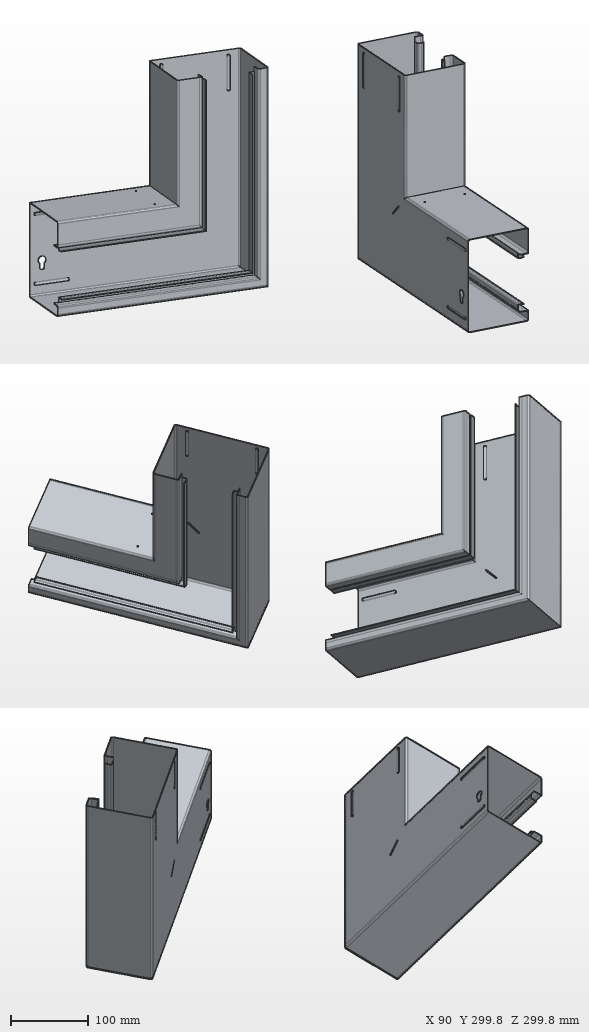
import cadquery as cq
import math

ARM_LENGTH = 299.8
CHANNEL_DEPTH = 90.0
CHANNEL_WIDTH = 130.0
SHEET = 1.2
BEND_RADIUS = 3.0
INNER_BEND_RADIUS = BEND_RADIUS - SHEET

HEEL_LIP = 15.5
THROAT_LIP = 36.3

LIP_BEND_RADIUS = 1.5
LIP_INNER_RADIUS = 3.0

LIP_BEND_RUN = 2 * LIP_INNER_RADIUS

CLIP_DEPTH = 12.5
CLIP_BACK = CHANNEL_DEPTH - CLIP_DEPTH
CLIP_WIDTH = 7.5
CLIP_BEND_RADIUS = 1.8
CLIP_CREST = 6.0
CLIP_TIP_REACH = 3.5
CLIP_TIP_DROP = 1.0
CLIP_SETBACK = 7.0

SLOT_LENGTH = 49.8
SLOT_WIDTH = 4.0
SLOT_END_GAP = 6.3
SLOT_EDGE_OFFSET = 17.5
TAB_SINK = 1.0

MITRE_SLOT_LENGTH = 21.5
MITRE_SLOT_WIDTH = 1.5
MITRE_SLOT_OFFSET = 104.0

KEYHOLE_END_GAP = 17.7
KEYHOLE_HEIGHT = 48.5
KEYHOLE_RADIUS = 5.5
KEYHOLE_NECK_WIDTH = 6.0
KEYHOLE_BOTTOM = 35.5

WALL_HOLE_DIAMETER = 1.8
WALL_HOLE_SPACING = 58.8
WALL_HOLE_FROM_HEEL = 155.3

CUT_DEPTH = 4 * SHEET


def bar(x_min, x_max, z_min, z_max):
    """Rectangular bar running from the heel plane toward -Y."""
    block = cq.Workplane("XY").box(x_max - x_min, ARM_LENGTH, z_max - z_min, centered=False)
    return block.translate((x_min, -ARM_LENGTH, z_min))


def channel():
    """Rounded rectangular tube with its +X face open between the two lips."""
    outside = bar(0, CHANNEL_DEPTH, 0, CHANNEL_WIDTH).edges("|Y").fillet(BEND_RADIUS)
    inside = bar(SHEET, CHANNEL_DEPTH - SHEET, SHEET, CHANNEL_WIDTH - SHEET)
    inside = inside.edges("|Y").fillet(INNER_BEND_RADIUS)
    opening = bar(
        CHANNEL_DEPTH / 2, CHANNEL_DEPTH, HEEL_LIP - LIP_BEND_RUN, CHANNEL_WIDTH - THROAT_LIP + LIP_BEND_RUN
    )
    return outside.cut(inside).cut(opening)


def lip_return(lip_edge, toward):
    """Flange bent inward from a lip; toward is +1 or -1, the Z direction into the opening."""
    bend_start = lip_edge - toward * LIP_BEND_RUN
    inner_face = lip_edge - toward * SHEET
    bend_edge = "|Y and >X and " + (">Z" if toward > 0 else "<Z")

    outside = bar(CLIP_BACK, CHANNEL_DEPTH, *sorted((bend_start, lip_edge)))
    outside = outside.edges(bend_edge).fillet(LIP_BEND_RADIUS)
    inside = bar(CLIP_BACK, CHANNEL_DEPTH - SHEET, *sorted((bend_start, inner_face)))
    inside = inside.edges(bend_edge).fillet(LIP_INNER_RADIUS)
    return outside.cut(inside)


def clip_hook(lip_edge, toward):
    """Hooked strip on the edge of a lip return, stopping short of the open end of the arm."""
    root = lip_edge - toward * SHEET
    crest = lip_edge + toward * CLIP_WIDTH
    under_crest = crest - toward * SHEET
    bend_z = crest - toward * CLIP_BEND_RADIUS
    bend_x = CLIP_BACK + CLIP_BEND_RADIUS
    fold_x = CLIP_BACK + CLIP_CREST
    tip_x = fold_x + CLIP_TIP_REACH
    tip_drop = toward * CLIP_TIP_DROP

    def bend_middle(radius):
        offset = radius * math.sqrt(0.5)
        return (bend_x - offset, bend_z + toward * offset)

    return (
        cq.Workplane("XZ")
        .moveTo(CLIP_BACK, root)
        .lineTo(CLIP_BACK, bend_z)
        .threePointArc(bend_middle(CLIP_BEND_RADIUS), (bend_x, crest))
        .lineTo(fold_x, crest)
        .lineTo(tip_x, crest - tip_drop)
        .lineTo(tip_x, under_crest - tip_drop)
        .lineTo(fold_x, under_crest)
        .lineTo(bend_x, under_crest)
        .threePointArc(bend_middle(CLIP_BEND_RADIUS - SHEET), (CLIP_BACK + SHEET, bend_z))
        .lineTo(CLIP_BACK + SHEET, root)
        .close()
        .extrude(ARM_LENGTH - CLIP_SETBACK)
    )


def horizontal_arm():
    """Full trunking section along -Y, trimmed to the 45 degree mitre at the heel."""
    arm = channel()
    for lip_edge, toward in [(HEEL_LIP, 1), (CHANNEL_WIDTH - THROAT_LIP, -1)]:
        arm = arm.union(lip_return(lip_edge, toward)).union(clip_hook(lip_edge, toward))
    beyond_mitre = (
        cq.Workplane("YZ")
        .polyline([(0, 0), (-CHANNEL_WIDTH, CHANNEL_WIDTH), (0, CHANNEL_WIDTH)])
        .close()
        .extrude(CHANNEL_DEPTH)
    )
    return arm.cut(beyond_mitre)


def add_end_slots(arm):
    """Press two lengthwise tabs into the back wall, each sinking toward its nearest side wall."""
    slot_y = -ARM_LENGTH + SLOT_END_GAP + SLOT_LENGTH / 2
    for slot_z, toward_wall in [(SLOT_EDGE_OFFSET, -1), (CHANNEL_WIDTH - SLOT_EDGE_OFFSET, 1)]:
        window = (
            cq.Workplane("YZ")
            .center(slot_y, slot_z)
            .slot2D(SLOT_LENGTH, SLOT_WIDTH)
            .extrude(CUT_DEPTH)
        )
        hinge_z = slot_z - toward_wall * SLOT_WIDTH / 2
        free_z = slot_z + toward_wall * SLOT_WIDTH / 2
        tilted_plate = (
            cq.Workplane("XZ")
            .polyline(
                [(0, hinge_z), (TAB_SINK, free_z), (TAB_SINK + SHEET, free_z), (SHEET, hinge_z)]
            )
            .close()
            .extrude(ARM_LENGTH)
        )
        arm = arm.cut(window).union(tilted_plate.intersect(window))
    return arm


def mitre_slot():
    """Cutter for the slot that straddles the mitre line."""
    slot = cq.Workplane("YZ").rect(MITRE_SLOT_LENGTH, MITRE_SLOT_WIDTH).extrude(CUT_DEPTH)
    slot = slot.rotate((0, 0, 0), (1, 0, 0), -45)
    return slot.translate((0, -MITRE_SLOT_OFFSET, MITRE_SLOT_OFFSET))


def keyhole():
    """Cutter for the round head and the round-ended neck below it."""
    y = -ARM_LENGTH + KEYHOLE_END_GAP
    neck_end = KEYHOLE_BOTTOM + KEYHOLE_NECK_WIDTH / 2
    neck_height = KEYHOLE_HEIGHT - neck_end
    head = cq.Workplane("YZ").center(y, KEYHOLE_HEIGHT).circle(KEYHOLE_RADIUS).extrude(CUT_DEPTH)
    neck = (
        cq.Workplane("YZ")
        .center(y, neck_end + neck_height / 2)
        .slot2D(neck_height + KEYHOLE_NECK_WIDTH, KEYHOLE_NECK_WIDTH, 90)
        .extrude(CUT_DEPTH)
    )
    return head.union(neck)


def wall_holes():
    """Cutters for the pair of small holes through the throat wall."""
    return (
        cq.Workplane("XY", origin=(CHANNEL_DEPTH / 2, -WALL_HOLE_FROM_HEEL, CHANNEL_WIDTH - CUT_DEPTH))
        .rarray(WALL_HOLE_SPACING, 3, 2, 1)
        .circle(WALL_HOLE_DIAMETER / 2)
        .extrude(2 * CUT_DEPTH)
    )


slotted_arm = add_end_slots(horizontal_arm())

mitre_normal = cq.Vector(0, 1, 1)
vertical_arm = cq.Workplane(slotted_arm.val().mirror(mitre_normal))

elbow = slotted_arm.union(vertical_arm)
result = elbow.cut(mitre_slot()).cut(keyhole()).cut(wall_holes())